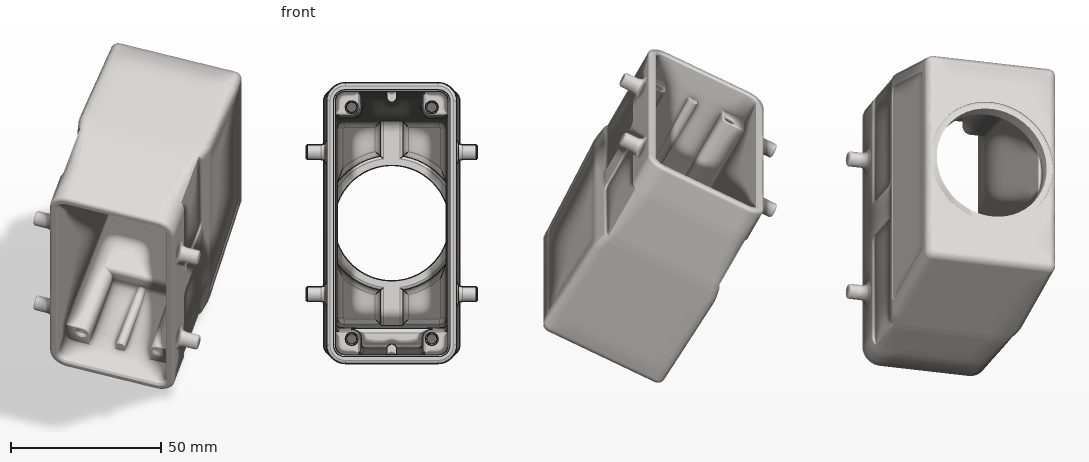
import cadquery as cq
import math

DEPTH = 76.0
RIM_WIDTH = 43.3
BODY_WIDTH = 45.4
RIM_HEIGHT = 93.7
SLOPE_START_Y = 11.1
SLOPE_BREAK_Y = 32.0
BREAK_HEIGHT = 89.6
BACK_HEIGHT = 71.8
SLOPE_BLEND = 1.4
FLARE_START_Y = 32.2
FLARE_END_Y = 37.0
FLARE_BLEND = 0.85
RIM_CORNER_RADIUS = 6.2
BODY_CORNER_RADIUS = 2.7
BACK_EDGE_RADIUS = 2.5
RIM_EDGE_RADIUS = 1.1

END_WALL = 3.0
CAVITY_RIM_WIDTH = 37.6
CAVITY_BACK_WIDTH = 36.2
CAVITY_MOUTH_RADIUS = 3.2
CAVITY_BACK_RADIUS = 2.2
CAVITY_BEND_Y = 12.0
CAVITY_BLEND = 2.4
MOUTH_CHAMFER = 0.6

FLOOR_Y = 73.2
PAD_Y = 70.0
RING_RADIUS = 22.6
BAR_WIDTH = 7.4
FLOOR_FILLET = 1.9
PAD_EDGE_RADIUS = 1.0
ENTRY_RADIUS = 19.2
SPOTFACE_RADIUS = 21.4
SPOTFACE_DEPTH = 0.5

SCREW_X = 13.35
SCREW_Z = 38.6
BOSS_RADIUS = 2.7
BOSS_DRAFT = 1.2
BOSS_FRONT_Y = 9.2
BOSS_EDGE_RADIUS = 0.4
BOSS_COVE_RADIUS = 0.9
BOSS_COVE_END_Y = 48.0
SCREW_HOLE_DIAMETER = 3.4
SCREW_HOLE_DEPTH = 20.0
SCREW_MOUTH_DIAMETER = 4.3
SCREW_MOUTH_ANGLE = 90.0

RIB_WIDTH = 3.2
RIB_TIP_Z = 40.3
RIB_FRONT_Y = 10.0
RIB_BACK_Y = 45.0
LEDGE_FRONT_Y = 34.5
LEDGE_Z = -35.1
LEDGE_TOP_FILLET = 1.5
LEDGE_BASE_FILLET = 1.3

PIN_SPAN = 57.0
PIN_Y = 6.3
PIN_Z = 23.65
PIN_DIAMETER = 5.0
PIN_TIP_CHAMFER = 0.45
PIN_FLARE_DIAMETER = 8.2
PIN_COLLAR_DIAMETER = 5.8
PIN_FLARE_LENGTH = 0.6
PIN_COLLAR_LENGTH = 1.3
PIN_ROOT_DEPTH = 1.0

POCKET_DEPTH = 0.75
POCKET_TILT = 0.5
POCKET_FRONT_Y = 11.9
POCKET_BACK_Y = 32.2
POCKET_INNER_Z = 5.8
POCKET_CORNER_RADIUS = 2.4
POCKET_FLOOR_FILLET = 0.7
PANEL_DEPTH = 0.3
PANEL_FRONT_Y = 37.3
PANEL_BACK_Y = 70.8
PANEL_MARGIN = 5.2
PANEL_CORNER_RADIUS = 2.0

SIDES = (1, -1)


def soften(points, blends):
    """Replace each inner point of a (y, value) line by two points, its blend length to either side."""
    softened = [points[0]]
    for index, blend in enumerate(blends, start=1):
        y = points[index][0]
        softened += [(y - blend, interpolate(y - blend, points)), (y + blend, interpolate(y + blend, points))]
    return softened + [points[-1]]


def interpolate(y, points):
    """Value at depth y on the straight pieces between (y, value) points."""
    for (y_low, low), (y_high, high) in zip(points, points[1:]):
        if y <= y_high:
            break
    return low + (high - low) * (y - y_low) / (y_high - y_low)


SHARP_HEIGHTS = [
    (0.0, RIM_HEIGHT),
    (SLOPE_START_Y, RIM_HEIGHT),
    (SLOPE_BREAK_Y, BREAK_HEIGHT),
    (DEPTH, BACK_HEIGHT),
]
SHARP_WIDTHS = [
    (0.0, RIM_WIDTH),
    (FLARE_START_Y, RIM_WIDTH),
    (FLARE_END_Y, BODY_WIDTH),
    (DEPTH, BODY_WIDTH),
]
HEIGHTS = soften(SHARP_HEIGHTS, [SLOPE_BLEND, SLOPE_BLEND])
WIDTHS = [SHARP_WIDTHS[0], SHARP_WIDTHS[1]] + soften(SHARP_WIDTHS[1:], [FLARE_BLEND])[1:]
CORNER_RADII = [
    (0.0, RIM_CORNER_RADIUS),
    (SLOPE_START_Y, RIM_CORNER_RADIUS),
    (SLOPE_BREAK_Y, BODY_CORNER_RADIUS),
    (DEPTH, BODY_CORNER_RADIUS),
]

SHARP_CAVITY_HEIGHTS = [
    (0.0, RIM_HEIGHT - 2 * END_WALL),
    (CAVITY_BEND_Y, RIM_HEIGHT - 2 * END_WALL),
    (SLOPE_BREAK_Y, BREAK_HEIGHT - 2 * END_WALL),
    (FLOOR_Y, interpolate(FLOOR_Y, SHARP_HEIGHTS) - 2 * END_WALL),
]
CAVITY_HEIGHTS = soften(SHARP_CAVITY_HEIGHTS, [CAVITY_BLEND, SLOPE_BLEND])
CAVITY_WIDTHS = [(0.0, CAVITY_RIM_WIDTH), (FLOOR_Y, CAVITY_BACK_WIDTH)]
CAVITY_CORNER_RADII = [(0.0, CAVITY_MOUTH_RADIUS), (FLOOR_Y, CAVITY_BACK_RADIUS)]


def section(y, width, height, radius):
    """Rounded rectangle across the Y axis at depth y."""
    outline = cq.Sketch().rect(width, height).vertices().fillet(radius)
    return outline.moved(cq.Location(cq.Vector(0, 0, -y)))


def loft(sections):
    return cq.Workplane("XZ").placeSketch(*sections).loft(ruled=True)


def on_side(shape, x_side, z_side=1):
    """Mirror a shape built at +X, +Z to the given sides."""
    if x_side < 0:
        shape = shape.mirror("YZ")
    if z_side < 0:
        shape = shape.mirror("XY")
    return shape


def bar(width_x, z_low, z_high, y_front, y_back):
    """Box centred on X, given by its X width, Z range and Y range."""
    return (
        cq.Workplane("XY")
        .box(width_x, y_back - y_front, z_high - z_low, centered=(True, False, False))
        .translate((0, y_front, z_low))
    )


def outer_shell():
    stations = sorted({y for y, _ in HEIGHTS + WIDTHS})
    shell = loft(
        [
            section(y, interpolate(y, WIDTHS), interpolate(y, HEIGHTS), interpolate(y, CORNER_RADII))
            for y in stations
        ]
    )
    shell = shell.faces(">Y").edges().fillet(BACK_EDGE_RADIUS)
    return shell.faces("<Y").edges().fillet(RIM_EDGE_RADIUS)


def cavity():
    """Drafted hollow following the end walls, with a chamfered mouth and the back wall pads left standing."""
    core = loft(
        [
            section(y, interpolate(y, CAVITY_WIDTHS), height, interpolate(y, CAVITY_CORNER_RADII))
            for y, height in CAVITY_HEIGHTS
        ]
    )
    core = core.cut(back_wall_pads())
    core = core.faces(">Y").edges().fillet(FLOOR_FILLET)
    return core.union(mouth_chamfer())


def mouth_chamfer():
    sections = []
    for y in (0.0, MOUTH_CHAMFER):
        growth = MOUTH_CHAMFER - y
        width = CAVITY_RIM_WIDTH + 2 * growth
        height = RIM_HEIGHT - 2 * END_WALL + 2 * growth
        sections.append(section(y, width, height, CAVITY_MOUTH_RADIUS + growth))
    return loft(sections)


def back_wall_pads():
    """Ring around the cable entry and the upright bar through its middle."""
    upright = bar(BAR_WIDTH, -RIM_HEIGHT / 2, RIM_HEIGHT / 2, PAD_Y, DEPTH)
    ring = cq.Workplane("XZ", origin=(0, PAD_Y, 0)).circle(RING_RADIUS).extrude(PAD_Y - DEPTH)
    return upright.union(ring).faces("<Y").edges().fillet(PAD_EDGE_RADIUS)


def screw_boss(x_side, z_side):
    """Drafted corner block, rounded around its screw hole."""
    reach = 8.0
    size = BOSS_RADIUS + reach
    shift = (reach - BOSS_RADIUS) / 2
    boss = (
        cq.Workplane("XZ", origin=(0, BOSS_FRONT_Y, 0))
        .center(x_side * (SCREW_X + shift), z_side * (SCREW_Z + shift))
        .sketch()
        .rect(size, size)
        .vertices()
        .fillet(BOSS_RADIUS)
        .finalize()
        .extrude(BOSS_FRONT_Y - PAD_Y, taper=-BOSS_DRAFT)
    )
    return boss.faces("<Y").edges().fillet(BOSS_EDGE_RADIUS)


def cove(corners):
    """Ruled strip filling inside corners, given as (y, x, z); its face is hollow, toward the part's middle."""
    overlap = 0.2
    radius = BOSS_COVE_RADIUS
    arc_offset = radius * (1 - math.sqrt(0.5))
    wires = []
    for y, x, z in corners:
        x_in = math.copysign(1, x)
        z_in = math.copysign(1, z)

        def point(from_x, from_z):
            return (x - x_in * from_x, z - z_in * from_z)

        outline = (
            cq.Workplane("XZ", origin=(0, y, 0))
            .moveTo(*point(radius, -overlap))
            .lineTo(*point(radius, 0))
            .threePointArc(point(arc_offset, arc_offset), point(0, radius))
            .lineTo(*point(-overlap, radius))
            .lineTo(*point(-overlap, -overlap))
            .close()
        )
        wires.append(outline.val())
    return cq.Workplane(cq.Solid.makeLoft(wires, True))


def boss_coves(x_side, z_side):
    """Coves along a boss, one against the side wall and one against the end wall."""

    def boss_reach(y):
        return BOSS_RADIUS + (y - BOSS_FRONT_Y) * math.tan(math.radians(BOSS_DRAFT))

    def wall_x(y):
        return interpolate(y, CAVITY_WIDTHS) / 2

    def wall_z(y):
        return interpolate(y, CAVITY_HEIGHTS) / 2

    side_ends = [BOSS_FRONT_Y, PAD_Y]
    bends = [y for y, _ in CAVITY_HEIGHTS if BOSS_FRONT_Y < y < BOSS_COVE_END_Y]
    end_stations = [BOSS_FRONT_Y] + bends + [BOSS_COVE_END_Y]
    side_corners = [(y, x_side * wall_x(y), z_side * (SCREW_Z - boss_reach(y))) for y in side_ends]
    end_corners = [(y, x_side * (SCREW_X - boss_reach(y)), z_side * wall_z(y)) for y in end_stations]
    return [cove(side_corners), cove(end_corners)]


def end_rib(z_side):
    """Round-topped rib lying along the middle of an end wall."""
    radius = RIB_WIDTH / 2
    rib_axis = RIB_TIP_Z + radius
    root = RIM_HEIGHT / 2
    rib = bar(RIB_WIDTH, rib_axis, root, RIB_FRONT_Y, RIB_BACK_Y)
    nose = (
        cq.Workplane("XZ", origin=(0, RIB_FRONT_Y, 0))
        .center(0, rib_axis)
        .circle(radius)
        .extrude(RIB_FRONT_Y - RIB_BACK_Y)
    )
    rib = rib.union(nose)
    return on_side(rib, 1, z_side)


def ledge():
    """Block filling the lower end wall between its two bosses."""
    block = bar(2 * SCREW_X, -RIM_HEIGHT / 2, LEDGE_Z, LEDGE_FRONT_Y, DEPTH)
    return block.edges("|X and <Y and >Z").fillet(LEDGE_TOP_FILLET)


def locking_pin():
    """Flared pin on the +X, +Z quarter."""
    root = RIM_WIDTH / 2
    tip = PIN_SPAN / 2
    base = root - PIN_ROOT_DEPTH
    flare_end = root + PIN_FLARE_LENGTH
    pin_radius = PIN_DIAMETER / 2
    collar_radius = PIN_COLLAR_DIAMETER / 2
    profile = (
        cq.Workplane("XY")
        .moveTo(base, 0)
        .lineTo(base, PIN_FLARE_DIAMETER / 2)
        .lineTo(root, PIN_FLARE_DIAMETER / 2)
        .lineTo(flare_end, collar_radius)
        .lineTo(flare_end + PIN_COLLAR_LENGTH, pin_radius)
        .lineTo(tip - PIN_TIP_CHAMFER, pin_radius)
        .lineTo(tip, pin_radius - PIN_TIP_CHAMFER)
        .lineTo(tip, 0)
        .close()
    )
    pin = profile.revolve(360, (0, 0, 0), (1, 0, 0))
    return pin.translate((0, PIN_Y, PIN_Z))


def side_pocket():
    """Shallow pocket with a rounded, tilted floor in the +X, +Z quarter, open through the top corner."""
    floor_x = RIM_WIDTH / 2 - POCKET_DEPTH
    length = RIM_HEIGHT / 2
    thickness = 5.0
    pocket = (
        cq.Workplane("YZ", origin=(floor_x, 0, 0))
        .center((POCKET_FRONT_Y + POCKET_BACK_Y) / 2, POCKET_INNER_Z + length / 2)
        .rect(POCKET_BACK_Y - POCKET_FRONT_Y, length)
        .extrude(thickness)
    )
    pocket = pocket.edges("|X and <Z").fillet(POCKET_CORNER_RADIUS)
    pocket = pocket.faces("<X").edges().fillet(POCKET_FLOOR_FILLET)
    return pocket.rotate((floor_x, 0, POCKET_INNER_Z), (floor_x, 1, POCKET_INNER_Z), -POCKET_TILT)


def label_panel():
    """Recessed panel following the sloped outline of the +X side."""
    front_z = interpolate(PANEL_FRONT_Y, HEIGHTS) / 2 - PANEL_MARGIN
    back_z = interpolate(PANEL_BACK_Y, HEIGHTS) / 2 - PANEL_MARGIN
    corners = [
        (PANEL_FRONT_Y, -front_z),
        (PANEL_BACK_Y, -back_z),
        (PANEL_BACK_Y, back_z),
        (PANEL_FRONT_Y, front_z),
    ]
    panel = cq.Workplane("YZ", origin=(BODY_WIDTH / 2 - PANEL_DEPTH, 0, 0)).polyline(corners).close()
    return panel.extrude(2 * PANEL_DEPTH).edges("|X").fillet(PANEL_CORNER_RADIUS)


def screw_hole(x, z):
    hole = (
        cq.Workplane("XZ", origin=(x, BOSS_FRONT_Y, z))
        .circle(SCREW_HOLE_DIAMETER / 2)
        .extrude(-SCREW_HOLE_DEPTH)
    )
    mouth_depth = (SCREW_MOUTH_DIAMETER - SCREW_HOLE_DIAMETER) / 2
    mouth_depth /= math.tan(math.radians(SCREW_MOUTH_ANGLE / 2))
    mouth = cq.Solid.makeCone(
        SCREW_MOUTH_DIAMETER / 2,
        SCREW_HOLE_DIAMETER / 2,
        mouth_depth,
        cq.Vector(x, BOSS_FRONT_Y, z),
        cq.Vector(0, 1, 0),
    )
    return hole.union(cq.Workplane(mouth))


def back_cylinder(radius, length):
    return cq.Workplane("XZ", origin=(0, DEPTH, 0)).circle(radius).extrude(length)


def inner_hollow():
    """The cavity less everything that stands in it."""
    hollow = cavity()
    for x_side in SIDES:
        for z_side in SIDES:
            hollow = hollow.cut(screw_boss(x_side, z_side))
    hollow = hollow.cut(ledge())
    base_z = -interpolate(LEDGE_FRONT_Y, CAVITY_HEIGHTS) / 2
    base = cq.selectors.NearestToPointSelector((0, LEDGE_FRONT_Y, base_z))
    hollow = hollow.edges(base).fillet(LEDGE_BASE_FILLET)
    for z_side in SIDES:
        hollow = hollow.cut(end_rib(z_side))
        for x_side in SIDES:
            for strip in boss_coves(x_side, z_side):
                hollow = hollow.cut(strip)
    return hollow


body = outer_shell().cut(inner_hollow())
body = body.cut(back_cylinder(ENTRY_RADIUS, DEPTH - PAD_Y))
body = body.cut(back_cylinder(SPOTFACE_RADIUS, SPOTFACE_DEPTH))

for x_side in SIDES:
    body = body.cut(on_side(label_panel(), x_side))
    for z_side in SIDES:
        body = body.cut(on_side(side_pocket(), x_side, z_side))
        body = body.union(on_side(locking_pin(), x_side, z_side))
        body = body.cut(screw_hole(x_side * SCREW_X, z_side * SCREW_Z))

result = body